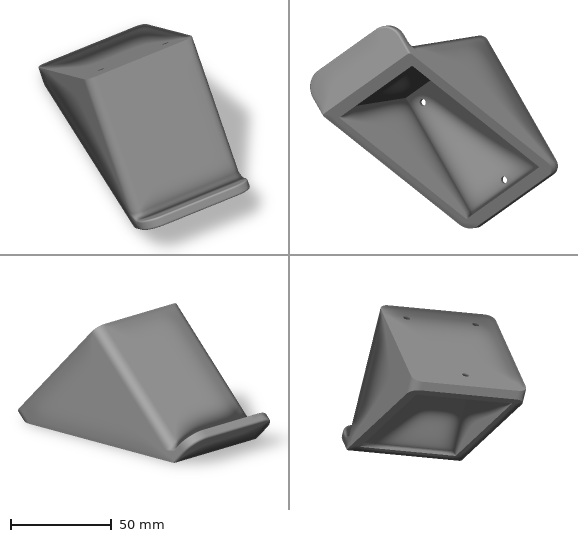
import cadquery as cq
import math

overall_length = 123.3
overall_width = 60.0
overall_height = 60.1

plate_length = 80.0
stack_depth = 80.0
block_corner_radius = 5.0

lip_thickness = 5.0
lip_corner_radius = 10.0
lip_edge_radius = 1.0
crease_radius = 3.0

plate_thickness = 2.0
wall_thickness = 5.0

hole_diameter = 3.5
hole_edge_distance = 12.0

edge_setback = lip_edge_radius * (math.sqrt(2) - 1)
lip_end = (overall_length + edge_setback) * math.sqrt(2) - stack_depth
crease_depth = stack_depth - lip_thickness
half_width = overall_width / 2
plate_foot_height = overall_height - plate_length / math.sqrt(2)

tilted_frame = cq.Plane(
    origin=(0, 0, plate_foot_height),
    xDir=(1, 0, 1),
    normal=(1, 0, -1),
)


def slab(x_start, x_end, half_span, z_start, z_end):
    """Box centred across the width."""
    size = (x_end - x_start, 2 * half_span, z_end - z_start)
    corner = cq.Workplane().box(*size, centered=(False, True, False))
    return corner.translate((x_start, 0, z_start))


def block_on_lip():
    """Rounded block blended into an oversize lip slab."""
    block = slab(0, plate_length, half_width, 0, crease_depth)
    block = block.edges("|Z").fillet(block_corner_radius)
    margin = 2 * crease_radius
    lip = slab(-margin, lip_end + margin, half_width + margin, crease_depth, stack_depth)
    clearance = crease_radius / 2
    foot_edges = cq.selectors.BoxSelector(
        (-clearance, -half_width - clearance, crease_depth - clearance),
        (plate_length + clearance, half_width + clearance, crease_depth + clearance),
    )
    return block.union(lip).edges(foot_edges).fillet(crease_radius)


def lip_outline():
    """Full-depth envelope with the rounded lip corners and the softened outer lip edge."""
    envelope = slab(0, lip_end, half_width, 0, stack_depth)
    envelope = envelope.edges("|Z and >X").fillet(lip_corner_radius)
    return envelope.faces(">Z").edges("not <X").fillet(lip_edge_radius)


def outer_form():
    """Blended solid trimmed to its outline, with the inner lip edge rounded up to the slope."""
    form = block_on_lip().intersect(lip_outline())
    inner_lip_edge = form.edges(">X").edges("<Z")
    return inner_lip_edge.fillet(lip_edge_radius)


def cavity():
    """Hollow that leaves the mounting plate, the slope, end and side walls, and the lip."""
    return slab(
        wall_thickness,
        plate_length - wall_thickness,
        half_width - wall_thickness,
        plate_thickness,
        crease_depth,
    )


def screw_holes():
    """One hole low on the centre line and a pair near the upper corners."""
    low = hole_edge_distance
    high = plate_length - hole_edge_distance
    side = half_width - hole_edge_distance
    places = [(low, 0), (high, -side), (high, side)]
    return cq.Workplane().pushPoints(places).circle(hole_diameter / 2).extrude(plate_thickness)


def below_base():
    """Everything under the flat base, cut away to leave the part standing on Z = 0."""
    reach = 2 * overall_length
    return cq.Workplane().box(reach, reach, reach).translate((0, 0, -reach / 2))


flat_part = outer_form().cut(cavity()).cut(screw_holes())
tilted_part = cq.Workplane(flat_part.val().moved(cq.Location(tilted_frame)))
result = tilted_part.cut(below_base())